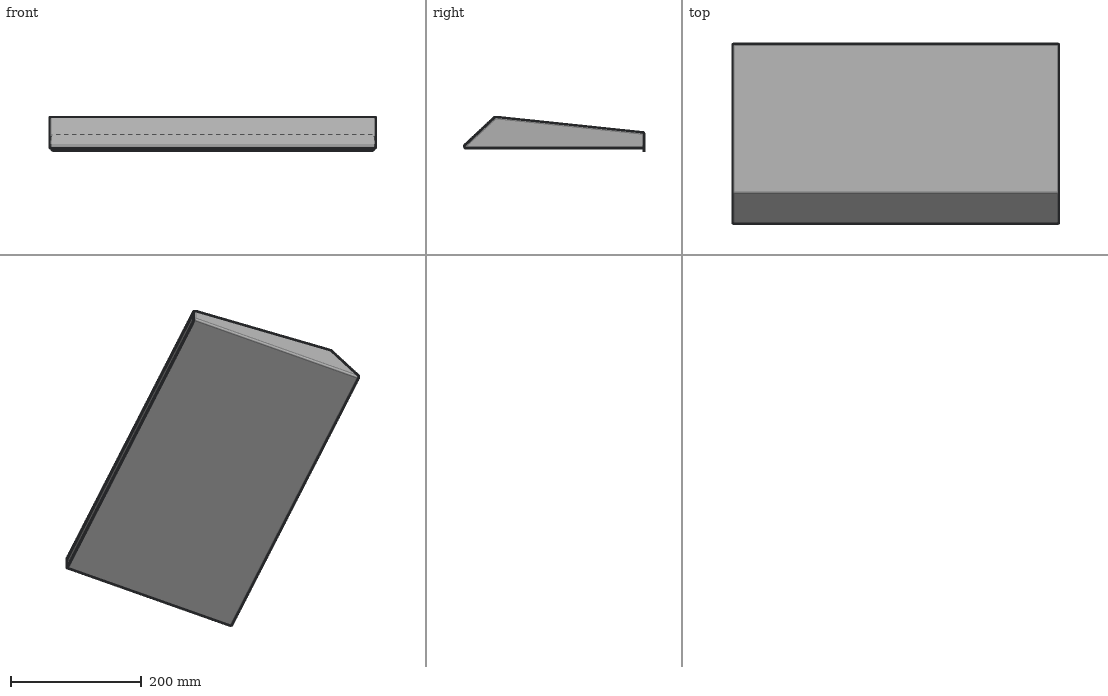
import cadquery as cq
import math

WIDTH = 500.0
LENGTH = 275.37
HEIGHT = 52.07

EDGE_RADIUS = 3.0
SLOPE_ANGLE = 43.2
ROOF_ANGLE = 6.0

PLATE_THICKNESS = 1.0
PLATE_OVERHANG = 3.7
PLATE_CORNER_RADIUS = 4.0

slope = math.radians(SLOPE_ANGLE)
roof = math.radians(ROOF_ANGLE)
case_height = HEIGHT - PLATE_OVERHANG

tip_y = EDGE_RADIUS - EDGE_RADIUS / math.tan(slope / 2)
ridge_center_z = case_height - EDGE_RADIUS
ridge_center_y = EDGE_RADIUS + (ridge_center_z - EDGE_RADIUS) / math.tan(slope)
ridge_reach = EDGE_RADIUS / math.cos((slope + roof) / 2)
ridge_lean = (slope - roof) / 2
ridge_y = ridge_center_y - ridge_reach * math.sin(ridge_lean)
ridge_z = ridge_center_z + ridge_reach * math.cos(ridge_lean)
back_height = ridge_z - (LENGTH - ridge_y) * math.tan(roof)

plate_width = WIDTH - 2 * EDGE_RADIUS
plate_top = back_height - EDGE_RADIUS
plate_height = plate_top + PLATE_OVERHANG


def make_case():
    """Wedge with its underside at Z = 0 and its rounded front at Y = 0."""
    profile = [(tip_y, 0), (LENGTH, 0), (LENGTH, back_height), (ridge_y, ridge_z)]
    return (
        cq.Workplane("YZ")
        .polyline(profile)
        .close()
        .extrude(WIDTH / 2, both=True)
        .edges()
        .fillet(EDGE_RADIUS)
    )


def make_back_plate():
    """Flat plate with rounded corners, flush with the back of the case."""
    return (
        cq.Workplane("XY")
        .box(plate_width, PLATE_THICKNESS, plate_height, centered=(True, False, False))
        .translate((0, LENGTH - PLATE_THICKNESS, -PLATE_OVERHANG))
        .edges("|Y")
        .fillet(PLATE_CORNER_RADIUS)
    )


back_plate = make_back_plate()
case = make_case().cut(back_plate)
result = cq.Compound.makeCompound([case.val(), back_plate.val()])